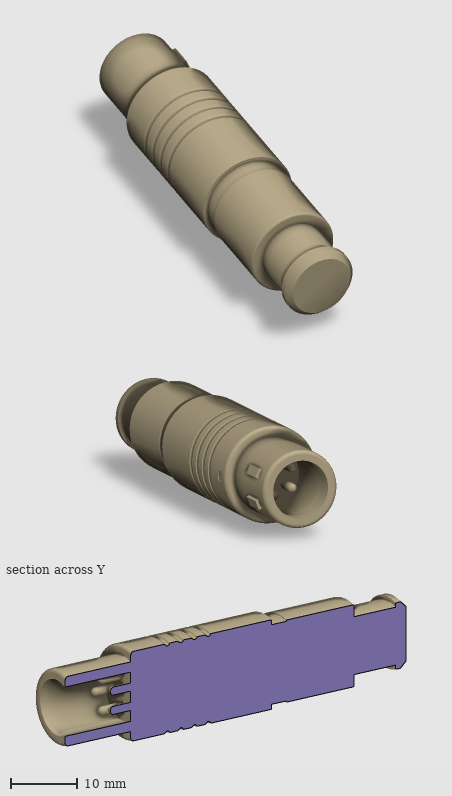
import cadquery as cq
import math

total_length = 62.5

shoulder_x = 12.0
body_end_x = 37.9
rear_start_x = 40.5
rear_end_x = 53.0
flange_start_x = 60.45

nose_radius = 6.0
body_radius = 7.5
neck_radius = 6.75
rear_radius = 6.95
tail_radius = 5.1
flange_radius = 5.75

nose_round = 0.6
shoulder_round = 0.55
rear_round = 0.4
flange_chamfer_length = 1.05
flange_chamfer_height = 0.95

groove_count = 4
first_groove_x = 18.1
groove_pitch = 2.5
groove_width = 1.0
groove_slope_length = 0.45
groove_depth = 0.28

socket_radius = 4.45
socket_depth = shoulder_x
pin_count = 5
pin_circle_radius = 2.6
pin_radius = 0.7
pin_length = 3.75

key_start_x = 2.7
key_length = 3.6
key_width = 1.5
key_outer_radius = 6.5
key_embed = 0.6
key_inner_radius = nose_radius - key_embed
key_angle = 22.5

dot_x = 14.1
dot_radius = 0.9
dot_depth = 0.1


def revolve_about_x(profile):
    """Turn a closed profile, with X along the axis and Y as radius, into a solid."""
    return profile.revolve(360, (0, 0, 0), (1, 0, 0))


def section(start_x, end_x, radius):
    """Plain cylinder between two stations on the X axis."""
    return cq.Workplane("YZ").workplane(offset=start_x).circle(radius).extrude(end_x - start_x)


def turned_body():
    nose = section(0, shoulder_x, nose_radius).faces("<X").edges().fillet(nose_round)
    body = section(shoulder_x, body_end_x, body_radius).faces("<X").edges().fillet(shoulder_round)
    neck = section(body_end_x, rear_start_x, neck_radius)
    rear = section(rear_start_x, rear_end_x, rear_radius).faces(">X").edges().fillet(rear_round)
    tail = section(rear_end_x, flange_start_x, tail_radius)
    flange = revolve_about_x(
        cq.Workplane("XY")
        .moveTo(flange_start_x, 0)
        .lineTo(flange_start_x, flange_radius)
        .lineTo(total_length - flange_chamfer_length, flange_radius)
        .lineTo(total_length, flange_radius - flange_chamfer_height)
        .lineTo(total_length, 0)
        .close()
    )
    return nose.union(body).union(neck).union(rear).union(tail).union(flange)


def grip_groove(start_x):
    """Ring-shaped cutter for one grip groove."""
    floor_radius = body_radius - groove_depth
    end_x = start_x + groove_width
    clear_radius = body_radius + groove_depth
    return revolve_about_x(
        cq.Workplane("XY")
        .moveTo(start_x, body_radius)
        .lineTo(start_x + groove_slope_length, floor_radius)
        .tangentArcPoint((end_x, body_radius), relative=False)
        .lineTo(end_x, clear_radius)
        .lineTo(start_x, clear_radius)
        .close()
    )


def contact_pin(angle):
    """Round-tipped pin on the socket floor, at an angle about X measured from +Y."""
    y = pin_circle_radius * math.cos(math.radians(angle))
    z = pin_circle_radius * math.sin(math.radians(angle))
    tip_x = socket_depth - pin_length
    shank_start_x = tip_x + pin_radius
    shank = section(shank_start_x, socket_depth, pin_radius)
    tip = cq.Workplane("XY").sphere(pin_radius).translate((shank_start_x, 0, 0))
    return shank.union(tip).translate((0, y, z))


def key(angle):
    """Rectangular key on the nose, turned about X away from +Y."""
    height = key_outer_radius - key_inner_radius
    block = cq.Workplane("XY").box(key_length, height, key_width, centered=(False, False, True))
    return block.translate((key_start_x, key_inner_radius, 0)).rotate((0, 0, 0), (1, 0, 0), angle)


def alignment_dot():
    """Flat-bottomed cutter for the dot on the +Y side of the body."""
    cutter = cq.Workplane("XZ").circle(dot_radius).extrude(-2 * dot_depth)
    return cutter.translate((dot_x, body_radius - dot_depth, 0))


plug = turned_body()

for index in range(groove_count):
    plug = plug.cut(grip_groove(first_groove_x + index * groove_pitch))

plug = plug.cut(section(0, socket_depth, socket_radius))

for index in range(pin_count):
    plug = plug.union(contact_pin(index * 360 / pin_count))

for side in (-1, 1):
    plug = plug.union(key(side * key_angle))

plug = plug.cut(alignment_dot())

result = plug